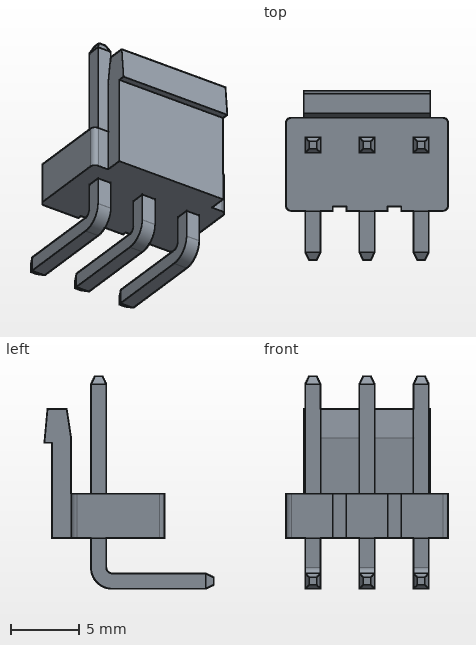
import cadquery as cq


pin_count = 3
pitch = 3.96
pin_width = 1.14
pin_half = pin_width / 2
pin_top = 11.85
pin_bottom = -3.72
pin_front = -8.42
tip_length = 0.6
tip_width = 0.56
bend_inner_radius = 0.43

base_length = pin_count * pitch
base_back = 2.01
base_front = -4.82
base_height = 3.25
corner_radius = 0.4

notch_width = 1.0
notch_spacing = 4.0
notch_depth = 0.33

wall_length = 9.29
wall_back = 3.43
wall_top = 9.45
lead_in_start = 7.34
lead_in_depth = 0.32
hook_bottom = 6.97
hook_back = 3.98
hook_top_back = 3.75


def centred_positions(count, spacing):
    """X positions of evenly spaced items about X = 0."""
    return [(i - (count - 1) / 2) * spacing for i in range(count)]


pin_positions = centred_positions(pin_count, pitch)
notch_positions = centred_positions(pin_count - 1, notch_spacing)


def yz_prism(outline, length):
    """Prism of a closed YZ outline, centred on X = 0."""
    return outline.close().extrude(length / 2, both=True)


def make_tip(plane):
    """Tapered square pin end, growing along the plane's normal."""
    return (
        cq.Workplane(plane)
        .rect(pin_width, pin_width)
        .workplane(offset=tip_length)
        .rect(tip_width, tip_width)
        .loft(combine=True)
    )


def make_pin(x):
    """Square pin: upright leg, bend towards -Y, horizontal tail, and a tapered tip at each end."""
    shoulder_z = pin_top - tip_length
    shoulder_y = pin_front + tip_length
    tail_top = pin_bottom + pin_width
    bend_y = -pin_half - bend_inner_radius
    bend_z = tail_top + bend_inner_radius
    bend_outer_radius = bend_inner_radius + pin_width

    shank = yz_prism(
        cq.Workplane("YZ")
        .moveTo(-pin_half, shoulder_z)
        .lineTo(pin_half, shoulder_z)
        .lineTo(pin_half, bend_z)
        .radiusArc((bend_y, pin_bottom), bend_outer_radius)
        .lineTo(shoulder_y, pin_bottom)
        .lineTo(shoulder_y, tail_top)
        .lineTo(bend_y, tail_top)
        .radiusArc((-pin_half, bend_z), -bend_inner_radius),
        pin_width,
    )
    top_tip = make_tip(cq.Plane(origin=(0, 0, shoulder_z), xDir=(1, 0, 0), normal=(0, 0, 1)))
    tail_tip = make_tip(
        cq.Plane(origin=(0, shoulder_y, pin_bottom + pin_half), xDir=(1, 0, 0), normal=(0, -1, 0))
    )
    return shank.union(top_tip).union(tail_tip).translate((x, 0, 0))


def make_base():
    """Rectangular block with rounded upright edges."""
    depth = base_back - base_front
    return (
        cq.Workplane("XY")
        .center(0, (base_back + base_front) / 2)
        .rect(base_length, depth)
        .extrude(base_height)
        .edges("|Z")
        .fillet(corner_radius)
    )


def make_wall():
    """Upright wall with a hook on its back and a sloped lead-in at the top of its front."""
    return yz_prism(
        cq.Workplane("YZ")
        .moveTo(base_back, 0)
        .lineTo(base_back, lead_in_start)
        .lineTo(base_back + lead_in_depth, wall_top)
        .lineTo(hook_top_back, wall_top)
        .lineTo(hook_back, hook_bottom)
        .lineTo(wall_back, hook_bottom)
        .lineTo(wall_back, 0),
        wall_length,
    )


def make_notch(x):
    """Cutter for one full-height notch in the front face of the base."""
    return (
        cq.Workplane("XY")
        .center(x, base_front)
        .rect(notch_width, 2 * notch_depth)
        .extrude(base_height)
    )


def make_pin_hole(x):
    """Cutter for one square through hole that a pin fills."""
    return cq.Workplane("XY").center(x, 0).rect(pin_width, pin_width).extrude(base_height)


def make_housing():
    """Base and lock wall in one piece, with notches and pin holes."""
    housing = make_base().union(make_wall())
    for x in notch_positions:
        housing = housing.cut(make_notch(x))
    for x in pin_positions:
        housing = housing.cut(make_pin_hole(x))
    return housing


housing = make_housing()
pins = [make_pin(x) for x in pin_positions]

result = cq.Compound.makeCompound([housing.val(), *[pin.val() for pin in pins]])